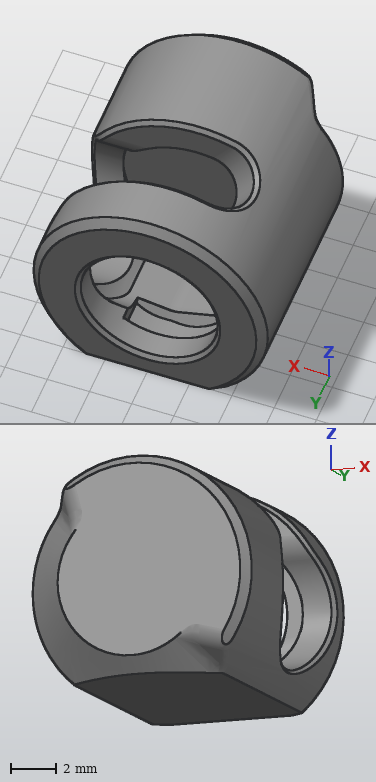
import cadquery as cq
import math

LENGTH = 12.0
RADIUS = 5.55
FLAT_Z = -4.254
FRONT_Y = -LENGTH / 2
BACK_Y = LENGTH / 2
RIM_CHAMFER = 0.4

BEVEL = 2.0
BEVEL_MIDDLE_ANGLE = 225.0
BEVEL_HALF_SPAN = 84.7
BEVEL_RING_HALF_SPAN = 110.0
BEVEL_END_FILLET = 1.0
BEVEL_RIM_FILLET = 0.4

HOLE_Y = 1.518
HOLE_RADIUS = 6.2 / 2
CAVITY_RADIUS = 3.98
CAVITY_FRONT_Y = HOLE_Y - HOLE_RADIUS
CAVITY_BACK_Y = HOLE_Y + HOLE_RADIUS
BACK_HOLE_RADIUS = 3.24
BACK_HOLE_CHAMFER = 0.2

VALLEY_X = -0.06
VALLEY_Z = -3.71
VALLEY_LEFT_SLOPE = 15.9
VALLEY_RIGHT_SLOPE = 8.5
VALLEY_RADIUS = 2.45 / 2
FLOOR_END_FILLET = 2.1
FLOOR_DROP_Y = 2.81
FLOOR_DROP_RIGHT_X = 1.65

SLOT_WIDTH = 3.4
SLOT_END_ANGLE = 127.0
SLOT_MOUTH_FILLET = 1.44
OPENING_CHAMFER = 0.2

REACH = 2 * RADIUS
TOLERANCE = 0.006


def around_y(radius, angle):
    """Point in the XZ plane at the given angle around the Y axis."""
    turn = math.radians(angle)
    return cq.Vector(radius * math.cos(turn), 0, radius * math.sin(turn))


def y_cylinder(radius, y_start, y_end):
    return cq.Workplane("XZ", origin=(0, y_start, 0)).circle(radius).extrude(y_start - y_end)


def on_outside(point):
    return abs(math.hypot(point.x, point.z) - RADIUS) < TOLERANCE




def bevel_end_block(angle, side):
    """Block whose face ends the bevel in a wall leaning 45 degrees from the bevel surface."""
    radial = around_y(1, angle)
    tangent = around_y(1, angle + 90 * side)
    backward = cq.Vector(0, 1, 0)
    along_bevel = (radial + backward).normalized()
    into_body = (backward - radial).normalized()
    foot = radial * (RADIUS - BEVEL / 2) + backward * (FRONT_Y + BEVEL / 2)
    wall = cq.Plane(foot, along_bevel, (tangent + into_body).normalized())
    return cq.Workplane(wall).rect(RADIUS, RADIUS).extrude(RADIUS / 2)


def bevel_cutter():
    cutter = (
        cq.Workplane("XY")
        .moveTo(RADIUS - 2 * BEVEL, FRONT_Y - BEVEL)
        .lineTo(RADIUS + BEVEL, FRONT_Y + 2 * BEVEL)
        .lineTo(RADIUS + BEVEL, FRONT_Y - BEVEL)
        .close()
        .revolve(2 * BEVEL_RING_HALF_SPAN, (0, 0, 0), (0, -1, 0))
        .rotate((0, 0, 0), (0, 1, 0), BEVEL_RING_HALF_SPAN - BEVEL_MIDDLE_ANGLE)
    )
    for side in (-1, 1):
        end_angle = BEVEL_MIDDLE_ANGLE + side * BEVEL_HALF_SPAN
        cutter = cutter.cut(bevel_end_block(end_angle, side))
    return cutter


def bevel_end_edges(solid):
    """Straight edges of the bevel's two end walls: at the bevel and at the front face."""
    return [
        edge
        for edge in solid.Edges()
        if edge.geomType() == "LINE" and edge.BoundingBox().ymax < FRONT_Y + BEVEL + TOLERANCE
    ]


def bevel_rim_edges(solid):
    """Edges where the bevel and its end walls meet the outside of the cylinder."""
    return [
        edge
        for edge in solid.Edges()
        if on_outside(edge.startPoint())
        and on_outside(edge.endPoint())
        and FRONT_Y + TOLERANCE < edge.BoundingBox().ymax < FRONT_Y + BEVEL + TOLERANCE
    ]


def front_rim_cutter():
    return (
        cq.Workplane("XY")
        .moveTo(RADIUS - RIM_CHAMFER, FRONT_Y)
        .lineTo(RADIUS, FRONT_Y + RIM_CHAMFER)
        .lineTo(RADIUS + RIM_CHAMFER, FRONT_Y)
        .close()
        .revolve(360, (0, 0, 0), (0, 1, 0))
    )


def bevelled_body():
    body = y_cylinder(RADIUS, FRONT_Y, BACK_Y).faces(">Y").edges().chamfer(RIM_CHAMFER)
    solid = body.cut(bevel_cutter()).val()
    solid = solid.fillet(BEVEL_END_FILLET, bevel_end_edges(solid))
    solid = solid.fillet(BEVEL_RIM_FILLET, bevel_rim_edges(solid))
    return cq.Workplane(solid).cut(front_rim_cutter())




def slot_cutter():
    """Wedge from the +X side over the top, with its far end rounded to the slot width."""
    end = around_y(REACH, SLOT_END_ANGLE)
    wedge = (
        cq.Workplane("XZ", origin=(0, HOLE_Y + SLOT_WIDTH / 2, 0))
        .polyline([(0, 0), (REACH, 0), (REACH, REACH), (end.x, end.z)])
        .close()
        .extrude(SLOT_WIDTH)
    )
    end_wall = cq.selectors.NearestToPointSelector((end.x / 2, HOLE_Y, end.z / 2))
    return wedge.faces(end_wall).edges("not |Y").fillet(SLOT_WIDTH / 2 - 0.001)


def opening_cutter():
    """Screw hole with the slot above it and rounded corners between them, joined to the slot."""
    hole = cq.Workplane("YZ").center(HOLE_Y, 0).circle(HOLE_RADIUS).extrude(REACH)
    stem = cq.Workplane("YZ").center(HOLE_Y, REACH / 2).rect(SLOT_WIDTH, REACH).extrude(REACH)
    keyhole = hole.union(stem)
    corner_z = math.sqrt(HOLE_RADIUS**2 - (SLOT_WIDTH / 2) ** 2)
    corners = cq.selectors.BoxSelector(
        (0, HOLE_Y - SLOT_WIDTH, corner_z - 0.12), (REACH, HOLE_Y + SLOT_WIDTH, corner_z + 0.12)
    )
    keyhole = keyhole.edges("|X").edges(corners).fillet(SLOT_MOUTH_FILLET)
    return keyhole.union(slot_cutter())


def opening_edges(solid):
    """Edges where the slot and the screw hole break through the outside of the cylinder."""
    return [
        edge
        for edge in solid.Edges()
        if on_outside(edge.positionAt(0.1))
        and on_outside(edge.positionAt(0.9))
        and abs(edge.Center().y - HOLE_Y) < HOLE_RADIUS
        and edge.BoundingBox().ylen < 2 * HOLE_RADIUS + 0.12
    ]




def space_above_floor(right_x, y_start, path):
    """Space above the valley floor, up to right_x, swept from y_start along a straight path."""
    left_rise = math.tan(math.radians(VALLEY_LEFT_SLOPE)) * REACH
    right_rise = math.tan(math.radians(VALLEY_RIGHT_SLOPE)) * (right_x - VALLEY_X)
    section = (
        cq.Sketch()
        .polygon(
            [
                (VALLEY_X, VALLEY_Z),
                (right_x, VALLEY_Z + right_rise),
                (right_x, REACH),
                (VALLEY_X - REACH, REACH),
                (VALLEY_X - REACH, VALLEY_Z + left_rise),
                (VALLEY_X, VALLEY_Z),
            ]
        )
        .vertices("<Y")
        .fillet(VALLEY_RADIUS)
        .reset()
    )
    face = section.faces().val().moved(cq.Location(cq.Plane.XZ(origin=(0, y_start, 0))))
    return cq.Workplane(cq.Solid.extrudeLinear(face, cq.Vector(path)))


def cavity():
    depth = CAVITY_BACK_Y - CAVITY_FRONT_Y
    drop = CAVITY_BACK_Y - FLOOR_DROP_Y
    space = space_above_floor(REACH, CAVITY_FRONT_Y, (0, depth, 0))
    low_zone = cq.selectors.BoxSelector((-REACH, -REACH, -RADIUS), (REACH, REACH, 0))
    space = space.edges(low_zone).edges("#Y").fillet(FLOOR_END_FILLET)
    space = space.union(space_above_floor(FLOOR_DROP_RIGHT_X, FLOOR_DROP_Y, (0, drop, -drop)))
    return space.intersect(y_cylinder(CAVITY_RADIUS, CAVITY_FRONT_Y, CAVITY_BACK_Y))


def back_hole():
    return (
        cq.Workplane("XY")
        .moveTo(0, HOLE_Y)
        .lineTo(BACK_HOLE_RADIUS, HOLE_Y)
        .lineTo(BACK_HOLE_RADIUS, BACK_Y - BACK_HOLE_CHAMFER)
        .lineTo(BACK_HOLE_RADIUS + BACK_HOLE_CHAMFER, BACK_Y)
        .lineTo(0, BACK_Y)
        .close()
        .revolve(360, (0, 0, 0), (0, 1, 0))
    )


def flat_cutter():
    return cq.Workplane("XY", origin=(0, 0, FLAT_Z)).rect(2 * REACH, 2 * REACH).extrude(-REACH)


opened_body = bevelled_body().cut(opening_cutter()).val()
opened_body = opened_body.chamfer(OPENING_CHAMFER, None, opening_edges(opened_body))
result = cq.Workplane(opened_body).cut(flat_cutter()).cut(cavity()).cut(back_hole())